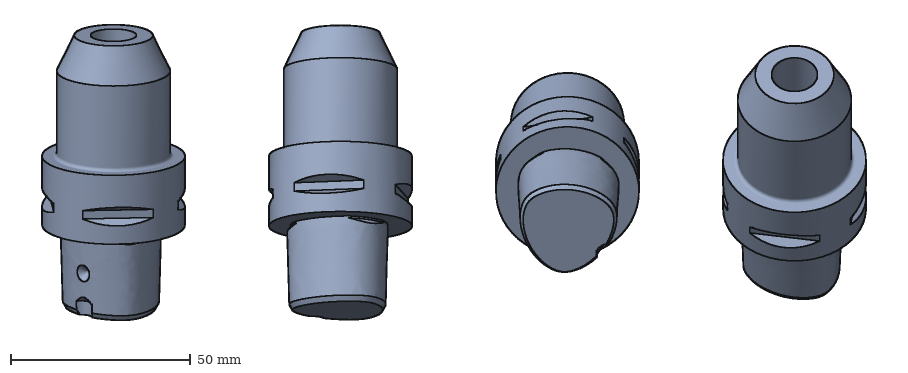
import cadquery as cq
import math

total_height = 79.0
flange_bottom = 24.0
flange_top = 44.0
nose_bottom = 68.7
taper_top = 21.65
chamfer_height = 1.6

flange_radius = 20.0
body_radius = 15.9
nose_radius = 11.0
body_fillet = 1.0
bore_radius = 6.4
bore_depth = 39.5

shank_top_radius = 14.1
shank_taper = 0.55
shank_chamfer = 0.9
lobe_height = 0.9
outline_points = 72

slot_angles = (45, 135, 225, 315)
slot_height = 32.0
slot_floor_width = 2.4
slot_floor_distance = 17.4
slot_flank_angle = 30.0

relief_radius = 14.1
relief_straight = 0.55
relief_cone_height = 1.2

dimple_height = 12.65
dimple_radius = 2.4
notch_radius = 3.15
notch_axis_y = -13.8
notch_depth = 4.0
drill_half_angle = 50.0


def lobed_outline(height, mean_radius):
    """Closed curve whose tangent distance is mean_radius + lobe_height * cos(3 * angle)."""
    def point(turn):
        angle = 2 * math.pi * turn
        radial = mean_radius + lobe_height * math.cos(3 * angle)
        sideways = -3 * lobe_height * math.sin(3 * angle)
        x = radial * math.cos(angle) - sideways * math.sin(angle)
        y = radial * math.sin(angle) + sideways * math.cos(angle)
        return (-y, x)

    points = [point(i / outline_points) for i in range(outline_points)]
    return cq.Workplane("XY").workplane(offset=height).spline(points, periodic=True).close().val()


def shank_section(bottom, bottom_radius, top, top_radius):
    wires = [lobed_outline(bottom, bottom_radius), lobed_outline(top, top_radius)]
    return cq.Workplane(cq.Solid.makeLoft(wires, True))


def make_shank():
    lower_radius = shank_top_radius - shank_taper
    chamfer = shank_section(0, lower_radius - shank_chamfer, chamfer_height, lower_radius)
    taper = shank_section(chamfer_height, lower_radius, taper_top, shank_top_radius)
    collar = shank_section(taper_top, shank_top_radius, flange_bottom, shank_top_radius)
    return chamfer.union(taper).union(collar)


def make_upper_body():
    profile = (
        cq.Workplane("XZ")
        .moveTo(0, flange_bottom)
        .lineTo(flange_radius, flange_bottom)
        .lineTo(flange_radius, flange_top)
        .lineTo(body_radius + body_fillet, flange_top)
        .radiusArc((body_radius, flange_top + body_fillet), body_fillet)
        .lineTo(body_radius, nose_bottom)
        .lineTo(nose_radius, total_height)
        .lineTo(0, total_height)
        .close()
    )
    return profile.revolve(360, (0, 0, 0), (0, 1, 0))


def gripper_slot(angle):
    depth = flange_radius - slot_floor_distance
    floor_half = slot_floor_width / 2
    mouth_half = floor_half + depth * math.tan(math.radians(slot_flank_angle))
    profile = cq.Workplane("XZ").polyline([
        (slot_floor_distance, slot_height - floor_half),
        (flange_radius, slot_height - mouth_half),
        (flange_radius, slot_height + mouth_half),
        (slot_floor_distance, slot_height + floor_half),
    ]).close()
    return profile.extrude(flange_radius, both=True).rotate((0, 0, 0), (0, 0, 1), angle)


def make_lobe_relief():
    outer = shank_top_radius + 2 * lobe_height
    lobe_tip = shank_top_radius + lobe_height
    cone_top = flange_bottom - relief_straight
    cone_bottom = cone_top - relief_cone_height
    profile = cq.Workplane("XZ").polyline([
        (relief_radius, flange_bottom),
        (relief_radius, cone_top),
        (lobe_tip, cone_bottom),
        (outer, cone_bottom),
        (outer, flange_bottom),
    ]).close()
    return profile.revolve(360, (0, 0, 0), (0, 1, 0))


def make_dimple():
    taper_share = (taper_top - dimple_height) / (taper_top - chamfer_height)
    surface_y = lobe_height - shank_top_radius + shank_taper * taper_share
    return cq.Workplane(cq.Solid.makeCone(
        2 * dimple_radius, 0, 2 * dimple_radius,
        cq.Vector(0, surface_y - dimple_radius, dimple_height), cq.Vector(0, 1, 0)))


def make_notch():
    tip_height = notch_radius / math.tan(math.radians(drill_half_angle))
    axis_foot = cq.Vector(0, notch_axis_y, 0)
    cone_foot = cq.Vector(0, notch_axis_y, notch_depth)
    hole = cq.Workplane(cq.Solid.makeCylinder(notch_radius, notch_depth, axis_foot))
    return hole.union(cq.Workplane(cq.Solid.makeCone(notch_radius, 0, tip_height, cone_foot)))


shank = make_shank()
shank = shank.cut(make_lobe_relief()).cut(make_dimple()).cut(make_notch())

upper_body = make_upper_body()
for slot_angle in slot_angles:
    upper_body = upper_body.cut(gripper_slot(slot_angle))
bore = cq.Workplane("XY").workplane(offset=total_height - bore_depth).circle(bore_radius).extrude(bore_depth)

result = upper_body.cut(bore).union(shank)